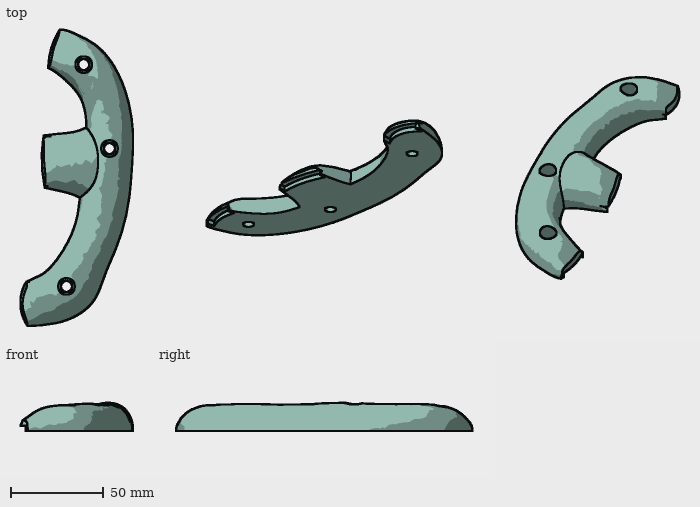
import cadquery as cq
import math

crown_height = 14.8
hub_height = 15.5
lip_height = 2.9
rebate_depth = 3.5
rebate_end_wall = 1.0
through_diameter = 6.0
counterbore_diameter = 9.0
counterbore_floor = 4.8
hole_centers = [(3.7, 61.6), (17.7, 16.0), (-5.6, -58.7)]

arm_roundness = 2.1
mid_roundness = 2.3
end_roundness = 2.6

points_per_half = 8
face_slope = 25.0
cutter_reach = 19.3
end_overrun = 1.6

arm_stations = [
    ((-19.3, 59.5), (-13.7, 79.5), 5.5, end_roundness),
    ((-14.3, 59.2), (-6.8, 80.4), 7.4, end_roundness),
    ((-9.6, 56.1), (-0.8, 78.3), 11.5, mid_roundness),
    ((-4.7, 51.8), (10.1, 72.2), 14.0, arm_roundness),
    ((1.6, 44.0), (21.7, 58.0), crown_height, arm_roundness),
    ((4.8, 33.0), (28.3, 40.2), crown_height, arm_roundness),
    ((4.8, 20.9), (30.5, 23.3), 15.1, arm_roundness),
    ((3.2, 7.2), (30.0, 8.0), hub_height, arm_roundness),
    ((2.0, -6.8), (28.8, -8.0), 14.8, arm_roundness),
    ((0.2, -20.7), (26.0, -23.3), 14.5, arm_roundness),
    ((-4.3, -33.5), (21.0, -38.6), crown_height, arm_roundness),
    ((-11.0, -44.2), (15.3, -52.5), crown_height, arm_roundness),
    ((-17.7, -51.3), (8.4, -67.5), 14.3, arm_roundness),
    ((-24.0, -54.5), (-8.0, -77.8), 12.9, mid_roundness),
    ((-28.1, -56.6), (-22.5, -80.0), 8.2, end_roundness),
    ((-33.0, -57.5), (-30.5, -80.0), 5.1, end_roundness),
]
hub_stations = [
    ((12.9, 29.6), (12.9, -14.5), 14.0, arm_roundness),
    ((5.6, 27.7), (5.6, -12.7), 15.0, arm_roundness),
    ((-1.1, 25.2), (-1.1, -9.3), 14.5, arm_roundness),
    ((-8.0, 24.3), (-8.0, -7.2), 12.9, arm_roundness),
    ((-14.8, 23.6), (-14.8, -5.8), 8.8, mid_roundness),
    ((-20.9, 23.3), (-20.9, -5.1), 1.3, end_roundness),
]

lips = [
    ((-9.5, 79.3), (-14.3, 69.1), (-15.1, 59.8)),
    ((-17.7, 23.5), (-19.1, 10.3), (-17.0, -5.3)),
    ((-25.7, -55.3), (-30.7, -66.7), (-26.0, -79.3)),
]


def section(inner, outer, height, roundness):
    """Upright dome-shaped wire standing on the line from inner to outer."""
    half_x = (outer[0] - inner[0]) / 2
    half_y = (outer[1] - inner[1]) / 2
    center_x = inner[0] + half_x
    center_y = inner[1] + half_y
    points = []
    for i in range(2 * points_per_half + 1):
        angle = math.pi * i / (2 * points_per_half)
        across = -math.copysign(abs(math.cos(angle)) ** (2 / roundness), math.cos(angle))
        up = height * math.sin(angle) ** (2 / roundness)
        points.append(cq.Vector(center_x + half_x * across, center_y + half_y * across, up))
    dome = cq.Edge.makeSpline(points)
    base = cq.Edge.makeLine(points[-1], points[0])
    return cq.Wire.assembleEdges([dome, base])


def dome_loft(stations):
    return cq.Workplane(cq.Solid.makeLoft([section(*station) for station in stations]))


def beyond_lip(lip, inset, end_wall):
    """Closed outline of the area to the left of a lip arc, moved into the part by inset."""
    first, middle, last = lip
    length = math.dist(first, last)
    along = ((last[0] - first[0]) / length, (last[1] - first[1]) / length)
    inward = (-along[1], along[0])

    def place(point, shift, depth):
        return (
            point[0] + along[0] * shift + inward[0] * depth,
            point[1] + along[1] * shift + inward[1] * depth,
        )

    return (
        cq.Workplane("XY")
        .moveTo(*place(first, end_wall, inset))
        .threePointArc(place(middle, 0, inset), place(last, -end_wall, inset))
        .lineTo(*place(last, -end_wall, -cutter_reach))
        .lineTo(*place(first, end_wall, -cutter_reach))
        .close()
    )


def trim_lip(body, lip):
    """Cut the body to a lip arc, slope the face above it and rebate the wall below it."""
    lower = beyond_lip(lip, 0, -end_overrun).extrude(lip_height)
    upper = beyond_lip(lip, 0, -end_overrun).extrude(hub_height, taper=-face_slope)
    rebate = beyond_lip(lip, rebate_depth, rebate_end_wall).extrude(lip_height)
    return body.cut(lower).cut(upper.translate((0, 0, lip_height))).cut(rebate)


def cut_counterbored_hole(body, x, y):
    bore = cq.Workplane("XY").center(x, y).circle(through_diameter / 2).extrude(hub_height)
    seat = cq.Workplane("XY", origin=(x, y, counterbore_floor)).circle(counterbore_diameter / 2)
    return body.cut(bore).cut(seat.extrude(hub_height))


body = dome_loft(arm_stations).union(dome_loft(hub_stations))

for lip in lips:
    body = trim_lip(body, lip)

for x, y in hole_centers:
    body = cut_counterbored_hole(body, x, y)

result = body